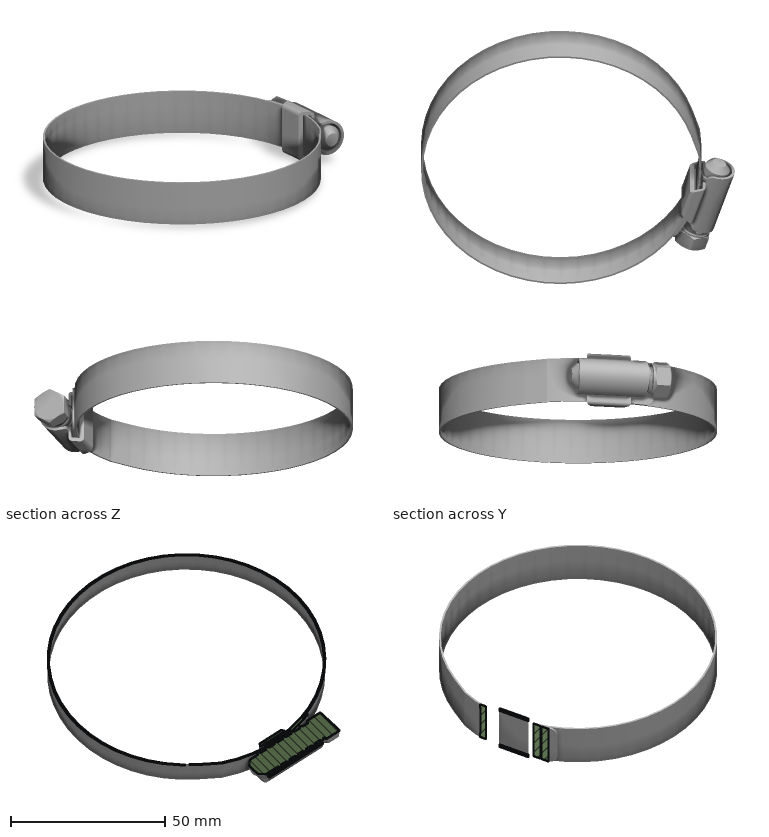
import cadquery as cq
import math


band_radius = 45.0
band_thickness = 0.6
band_width = 14.3
layer_gap = 0.05
step_start_angle = 55
step_end_angle = 65
outer_end_angle = 110
inner_end_angle = 85
outer_end_corner_radius = 2.8

screw_axis_y = 49.9
head_across_flats = 10.1
head_start_x = -19.0
head_length = 5.2
head_face_radius = 4.9
head_chamfer_angle = 30
washer_radius = head_across_flats / 2
washer_end_x = -13.2
shank_radius = 4.1
shank_end_x = 11.4
tip_radius = 2.2
tip_length = 1.9
thread_crest_radius = 4.6
thread_pitch = 3.5
thread_turns = 6.2
thread_start_x = -12.9
thread_start_angle = -90
thread_root_width = 1.4
thread_crest_width = 1
thread_root_sink = 0.2
thread_clearance = 0.05

cap_outer_radius = 5.8
cap_inner_radius = 4.9
cap_half_length = 11.5
cap_side_half_length = 11.0
cap_corner_radius = 2.6
saddle_top_y = 46.9
saddle_bottom_y = 42.5
saddle_width = 16.8
saddle_top_half_length = 7.3
saddle_bottom_half_length = 4.6
saddle_top_thickness = 0.7
saddle_bottom_thickness = 1.3
saddle_side_thickness = 1.2
saddle_top_fillet = 0.9
saddle_bottom_fillet = 1.4


def polar(radius, angle):
    """Point of the XY plane at a radius and an angle in degrees from +X."""
    turn = math.radians(angle)
    return (radius * math.cos(turn), radius * math.sin(turn))


def x_cylinder(radius, start_x, end_x):
    """Cylinder on the screw axis."""
    return (
        cq.Workplane("YZ", origin=(start_x, screw_axis_y, 0))
        .circle(radius)
        .extrude(end_x - start_x)
    )


def make_band():
    inner_radius = band_radius - band_thickness
    lap_inner_radius = band_radius + layer_gap
    lap_outer_radius = lap_inner_radius + band_thickness
    lap_middle_angle = (step_end_angle + outer_end_angle) / 2
    ring_end_angle = inner_end_angle - 360
    ring_middle_angle = (step_start_angle + ring_end_angle) / 2

    strip = (
        cq.Workplane("XY")
        .moveTo(*polar(band_radius, ring_end_angle))
        .threePointArc(polar(band_radius, ring_middle_angle), polar(band_radius, step_start_angle))
        .lineTo(*polar(lap_outer_radius, step_end_angle))
        .threePointArc(polar(lap_outer_radius, lap_middle_angle), polar(lap_outer_radius, outer_end_angle))
        .lineTo(*polar(lap_inner_radius, outer_end_angle))
        .threePointArc(polar(lap_inner_radius, lap_middle_angle), polar(lap_inner_radius, step_end_angle))
        .lineTo(*polar(inner_radius, step_start_angle))
        .threePointArc(polar(inner_radius, ring_middle_angle), polar(inner_radius, ring_end_angle))
        .close()
        .extrude(band_width / 2, both=True)
    )

    end_x, end_y = polar(lap_inner_radius + band_thickness / 2, outer_end_angle)
    for corner_z in (-band_width / 2, band_width / 2):
        corner = cq.selectors.NearestToPointSelector((end_x, end_y, corner_z))
        strip = strip.edges(corner).fillet(outer_end_corner_radius)

    thread_trough = x_cylinder(
        thread_crest_radius + thread_clearance, -cap_half_length, cap_half_length
    )
    return strip.cut(thread_trough)


def make_head():
    """Hexagon with corners on +Z and -Z, chamfered to a circle at both ends."""
    corner_radius = head_across_flats / math.sqrt(3)
    corners = [polar(corner_radius, 30 + 60 * i) for i in range(6)]
    hexagon = (
        cq.Workplane("YZ", origin=(head_start_x, screw_axis_y, 0))
        .polyline(corners)
        .close()
        .extrude(head_length)
    )
    chamfer_depth = (corner_radius - head_face_radius) * math.tan(math.radians(head_chamfer_angle))
    envelope = (
        cq.Workplane("XY", origin=(head_start_x, screw_axis_y, 0))
        .polyline([
            (0, 0),
            (0, head_face_radius),
            (chamfer_depth, corner_radius),
            (head_length - chamfer_depth, corner_radius),
            (head_length, head_face_radius),
            (head_length, 0),
        ])
        .close()
        .revolve(360, (0, 0, 0), (1, 0, 0))
    )
    return hexagon.intersect(envelope)


def make_shank():
    """Washer face, shank and conical tip as one turned shape."""
    washer_start_x = head_start_x + head_length
    tip_end_x = shank_end_x + tip_length
    return (
        cq.Workplane("XY", origin=(0, screw_axis_y, 0))
        .polyline([
            (washer_start_x, 0),
            (washer_start_x, washer_radius),
            (washer_end_x, washer_radius),
            (washer_end_x, shank_radius),
            (shank_end_x, shank_radius),
            (tip_end_x, tip_radius),
            (tip_end_x, 0),
        ])
        .close()
        .revolve(360, (0, 0, 0), (1, 0, 0))
    )


def make_thread():
    """Right-handed trapezoidal thread that starts on the -Z side of the shank, next to the washer face."""
    root_radius = shank_radius - thread_root_sink
    path = cq.Wire.makeHelix(
        thread_pitch,
        thread_pitch * thread_turns,
        shank_radius,
        center=cq.Vector(thread_start_x, screw_axis_y, 0),
        dir=cq.Vector(1, 0, 0),
    )
    start = path.startPoint()
    radial = (start - cq.Vector(thread_start_x, screw_axis_y, 0)).normalized()
    section_plane = cq.Plane(
        origin=(thread_start_x, screw_axis_y, 0),
        xDir=radial,
        normal=radial.cross(cq.Vector(1, 0, 0)),
    )
    thread = (
        cq.Workplane(section_plane)
        .polyline([
            (root_radius, -thread_root_width / 2),
            (thread_crest_radius, -thread_crest_width / 2),
            (thread_crest_radius, thread_crest_width / 2),
            (root_radius, thread_root_width / 2),
        ])
        .close()
        .sweep(cq.Workplane(path), isFrenet=True)
    )
    start_angle = math.degrees(math.atan2(radial.z, radial.y))
    return thread.rotate((0, screw_axis_y, 0), (1, screw_axis_y, 0), thread_start_angle - start_angle)


def make_screw():
    return make_shank().union(make_head()).union(make_thread())


def make_cap():
    """Solid cylinder over the screw, with rounded lower corners and bowed ends."""
    cap_top_y = screw_axis_y + cap_outer_radius
    corner_start_y = saddle_top_y + cap_corner_radius
    bottom_half_length = cap_side_half_length - cap_corner_radius
    side_outline = (
        cq.Workplane("XY")
        .moveTo(-cap_half_length, cap_top_y)
        .lineTo(-cap_side_half_length, screw_axis_y)
        .lineTo(-cap_side_half_length, corner_start_y)
        .radiusArc((-bottom_half_length, saddle_top_y), -cap_corner_radius)
        .lineTo(bottom_half_length, saddle_top_y)
        .radiusArc((cap_side_half_length, corner_start_y), -cap_corner_radius)
        .lineTo(cap_side_half_length, screw_axis_y)
        .lineTo(cap_half_length, cap_top_y)
        .close()
        .extrude(cap_outer_radius, both=True)
    )
    return x_cylinder(cap_outer_radius, -cap_half_length, cap_half_length).intersect(side_outline)


def make_saddle():
    """Solid block around the band, tapering towards the band axis."""
    saddle_height = saddle_top_y - saddle_bottom_y
    block = (
        cq.Workplane("XY")
        .box(2 * saddle_top_half_length, saddle_height, saddle_width)
        .translate((0, (saddle_top_y + saddle_bottom_y) / 2, 0))
    )
    block = block.faces(">Y").edges("|X").fillet(saddle_top_fillet)
    block = block.faces("<Y").edges("|X").fillet(saddle_bottom_fillet)
    taper = (
        cq.Workplane("XY")
        .polyline([
            (-saddle_top_half_length, saddle_top_y),
            (-saddle_bottom_half_length, saddle_bottom_y),
            (saddle_bottom_half_length, saddle_bottom_y),
            (saddle_top_half_length, saddle_top_y),
        ])
        .close()
        .extrude(saddle_width / 2, both=True)
    )
    return block.intersect(taper)


def make_housing():
    bore = x_cylinder(cap_inner_radius, -cap_half_length, cap_half_length)
    passage_bottom_y = saddle_bottom_y + saddle_bottom_thickness
    passage_top_y = saddle_top_y - saddle_top_thickness
    band_passage = (
        cq.Workplane("XY")
        .box(
            2 * saddle_top_half_length,
            passage_top_y - passage_bottom_y,
            saddle_width - 2 * saddle_side_thickness,
        )
        .translate((0, (passage_top_y + passage_bottom_y) / 2, 0))
    )
    return make_cap().union(make_saddle()).cut(bore).cut(band_passage)


band = make_band()
screw = make_screw()
housing = make_housing()

result = cq.Compound.makeCompound([
    band.solids().val(),
    screw.solids().val(),
    housing.solids().val(),
])